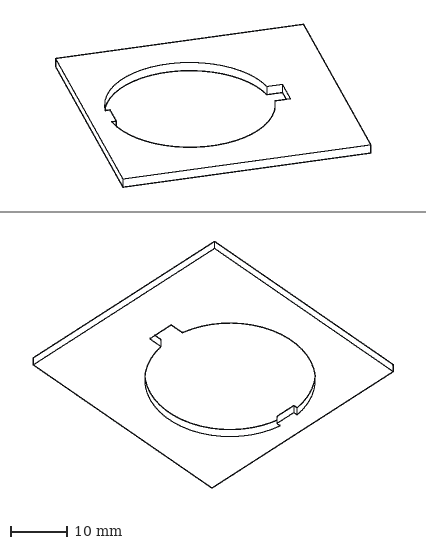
import cadquery as cq

plate_width = 44.8
plate_length = 45.75
plate_thickness = 1.7

opening_diameter = 30.3
opening_center_y = -4.3

notch_width = 5.3
notch_reach = 17.8

tab_width = 4.2
tab_reach = 14.15


def through_block(width, y_start, y_end):
    """Full-thickness block centred on X = 0, between two Y positions."""
    return (
        cq.Workplane("XY")
        .center(0, (y_start + y_end) / 2)
        .rect(width, abs(y_end - y_start))
        .extrude(plate_thickness)
    )


def make_plate():
    return cq.Workplane("XY").rect(plate_width, plate_length).extrude(plate_thickness)


def make_opening():
    """Cutting body: disc with the notch added and the tab left out."""
    opening_radius = opening_diameter / 2
    disc = (
        cq.Workplane("XY")
        .center(0, opening_center_y)
        .circle(opening_radius)
        .extrude(plate_thickness)
    )
    notch = through_block(notch_width, opening_center_y, opening_center_y + notch_reach)
    tab = through_block(tab_width, opening_center_y - opening_radius, opening_center_y - tab_reach)
    return disc.union(notch).cut(tab)


result = make_plate().cut(make_opening())